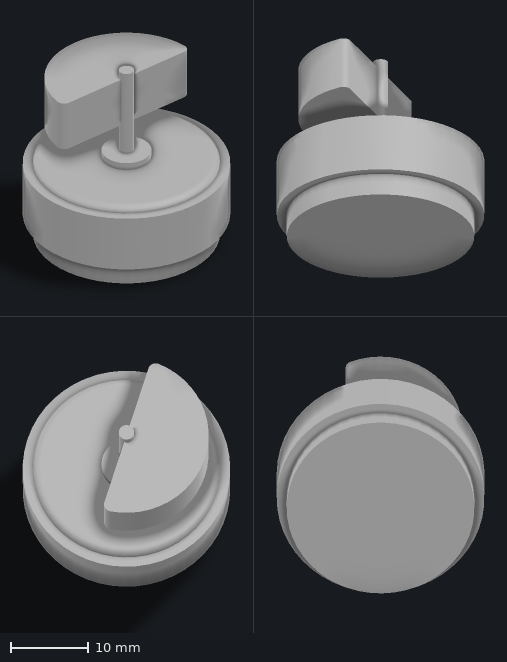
import cadquery as cq

collar_radius = 13.45
body_radius = 12.15
collar_bottom = 2.99
collar_top = 10.81
body_top = 11.73
body_edge_radius = 1.0

boss_radius = 3.23
boss_top = 12.78
shaft_radius = 1.0
shaft_top = 25.07

weight_radius = 10.65
weight_bottom = 16.92
weight_top = 23.95
weight_corner_radius = 1.0


def cylinder(radius, bottom, top):
    """Vertical cylinder on the motor axis between two heights."""
    return cq.Workplane("XY").workplane(offset=bottom).circle(radius).extrude(top - bottom)


def motor_body():
    """Round can with a rounded top edge and a wider collar around it."""
    can = cylinder(body_radius, 0, body_top).faces(">Z").edges().fillet(body_edge_radius)
    return can.union(cylinder(collar_radius, collar_bottom, collar_top))


def eccentric_weight():
    """Half disc on the -X side, its flat face through the shaft axis."""
    half_disc = (
        cq.Workplane("XY")
        .workplane(offset=weight_bottom)
        .moveTo(0, weight_radius)
        .threePointArc((-weight_radius, 0), (0, -weight_radius))
        .close()
        .extrude(weight_top - weight_bottom)
    )
    return half_disc.edges("|Z").fillet(weight_corner_radius)


boss = cylinder(boss_radius, 0, boss_top)
shaft = cylinder(shaft_radius, 0, shaft_top)

result = motor_body().union(boss).union(shaft).union(eccentric_weight())